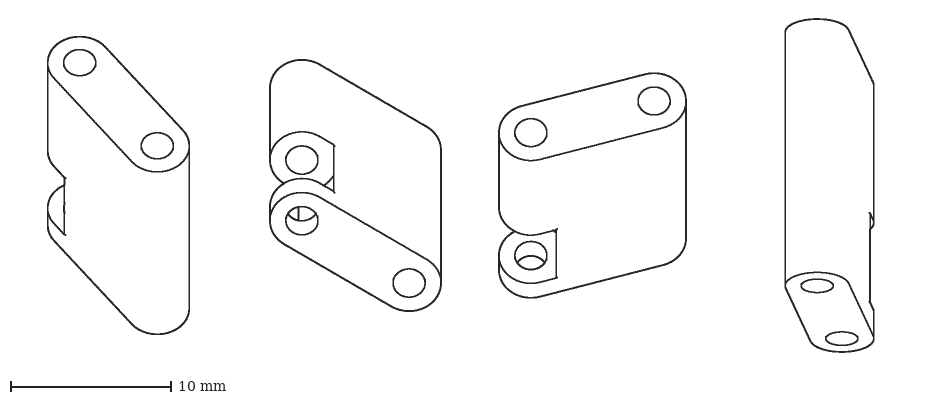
import cadquery as cq

length = 12.0
thickness = 4.0
height = 17.4

pin_diameter = 2.0
pin_offset = (length - thickness) / 2

gap_bottom = 1.85
gap_top = 7.95
gap_radius = 2.26


def link_body():
    """Upright plate with fully rounded ends."""
    return cq.Workplane("XY").slot2D(length, thickness).extrude(height)


def pin_holes():
    """Through holes along both end axes."""
    centers = [(-pin_offset, 0), (pin_offset, 0)]
    return cq.Workplane("XY").pushPoints(centers).circle(pin_diameter / 2).extrude(height)


def knuckle_gap():
    """Cylindrical clearance centred on the -X pin axis."""
    return (
        cq.Workplane("XY", origin=(-pin_offset, 0, gap_bottom))
        .circle(gap_radius)
        .extrude(gap_top - gap_bottom)
    )


result = link_body().cut(pin_holes()).cut(knuckle_gap())